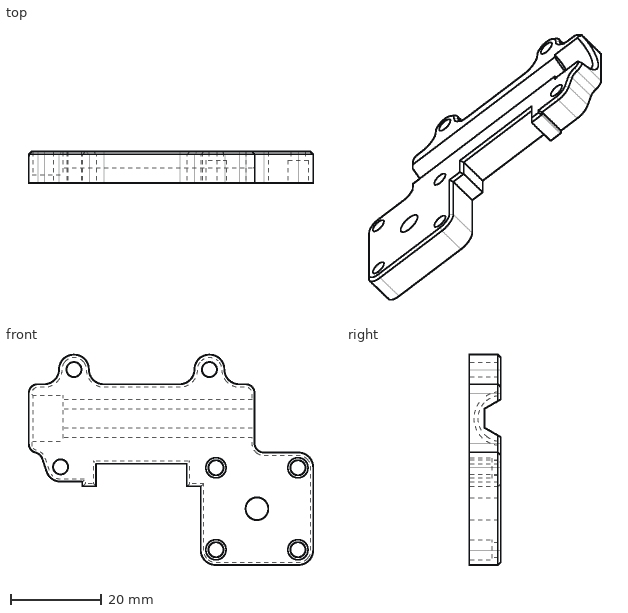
import cadquery as cq
import math

length = 63.0
height = 46.6
thickness = 7.0
back_chamfer = 0.6
screw_diameter = 3.3

body_right = 50.0
body_top = 40.05
corner_radius = 2.0

ear_radius = 3.35
ear_z = height - ear_radius
ear_positions = (10.0, 40.0)
ear_fillet = ear_z - body_top

block_size = 24.95
block_left = length - block_size
block_radius = 3.35
block_center = (length - block_size / 2, block_size / 2)
block_hole_pitch = 18.15
counterbore_diameter = 4.5
counterbore_depth = 5.05
center_hole_diameter = 5.0

lug_x = 7.05
lug_z = 21.75
lug_radius = 3.3
left_corner_z = 26.85
lug_fillet_x = 1.1

notch_left = 14.9
notch_right = 34.95
notch_top = 22.4
foot_left = 11.85
foot_bottom = 17.45
foot_radius = 0.2

channel_z = 32.5
channel_across_corners = 8.3
mouth_diameter = 12.0
mouth_inner_diameter = 10.2
mouth_depth = 7.55
mouth_chamfer = (mouth_diameter - mouth_inner_diameter) / 2


def point_on_arc(center, radius, angle):
    return (center[0] + radius * math.cos(angle), center[1] + radius * math.sin(angle))


def add_ear(outline, x):
    """Continue a left-to-right top edge over one ear and its two root fillets."""
    diagonal = math.pi / 4
    left_fillet = (x - ear_radius - ear_fillet, ear_z)
    right_fillet = (x + ear_radius + ear_fillet, ear_z)
    return (
        outline.lineTo(left_fillet[0], body_top)
        .threePointArc(point_on_arc(left_fillet, ear_fillet, -diagonal), (x - ear_radius, ear_z))
        .threePointArc((x, height), (x + ear_radius, ear_z))
        .threePointArc(point_on_arc(right_fillet, ear_fillet, 5 * diagonal), (right_fillet[0], body_top))
    )


def make_plate():
    corner = (corner_radius, left_corner_z)
    center_drop = math.sqrt((2 * corner_radius) ** 2 - (corner_radius - lug_fillet_x) ** 2)
    fillet = (lug_fillet_x, left_corner_z - center_drop)
    touch = ((corner[0] + fillet[0]) / 2, (corner[1] + fillet[1]) / 2)
    touch_angle = math.atan2(touch[1] - fillet[1], touch[0] - fillet[0])
    corner_middle = (math.pi + touch_angle + math.pi) / 2

    lug = (lug_x, lug_z)
    center_angle = math.atan2(lug[1] - fillet[1], lug[0] - fillet[0])
    flank_angle = center_angle + math.acos((corner_radius + lug_radius) / math.dist(lug, fillet))
    flank_start = point_on_arc(fillet, corner_radius, flank_angle)
    flank_end = point_on_arc(lug, lug_radius, flank_angle + math.pi)
    lug_middle = (flank_angle + math.pi + 3 * math.pi / 2) / 2

    outline = cq.Workplane("XZ").moveTo(0, left_corner_z).lineTo(0, body_top - corner_radius)
    outline = outline.radiusArc((corner_radius, body_top), corner_radius)
    for x in ear_positions:
        outline = add_ear(outline, x)
    outline = (
        outline.lineTo(body_right - corner_radius, body_top)
        .radiusArc((body_right, body_top - corner_radius), corner_radius)
        .lineTo(body_right, block_size + corner_radius)
        .radiusArc((body_right + corner_radius, block_size), -corner_radius)
        .lineTo(length - block_radius, block_size)
        .radiusArc((length, block_size - block_radius), block_radius)
        .lineTo(length, block_radius)
        .radiusArc((length - block_radius, 0), block_radius)
        .lineTo(block_left + block_radius, 0)
        .radiusArc((block_left, block_radius), block_radius)
        .lineTo(block_left, foot_bottom)
        .lineTo(notch_right, foot_bottom)
        .lineTo(notch_right, notch_top)
        .lineTo(notch_left, notch_top)
        .lineTo(notch_left, foot_bottom)
        .lineTo(foot_left, foot_bottom)
        .lineTo(foot_left, lug_z - lug_radius)
        .lineTo(lug_x, lug_z - lug_radius)
        .threePointArc(point_on_arc(lug, lug_radius, lug_middle), flank_end)
        .lineTo(*flank_start)
        .threePointArc(point_on_arc(fillet, corner_radius, (flank_angle + touch_angle) / 2), touch)
        .threePointArc(point_on_arc(corner, corner_radius, corner_middle), (0, left_corner_z))
        .close()
    )
    plate = outline.extrude(-thickness).faces(">Y").chamfer(back_chamfer)
    foot_corner = cq.selectors.NearestToPointSelector((foot_left, thickness / 2, foot_bottom))
    return plate.edges("|Y").edges(foot_corner).fillet(foot_radius)


def cut_screw_holes(part):
    screw_points = [(x, ear_z) for x in ear_positions] + [(lug_x, lug_z)]
    screw_holes = cq.Workplane("XZ").pushPoints(screw_points).circle(screw_diameter / 2).extrude(-thickness)
    return part.cut(screw_holes)


def cut_block_holes(part):
    block_plane = cq.Workplane("XZ").center(*block_center)
    corners = block_plane.rect(block_hole_pitch, block_hole_pitch, forConstruction=True).vertices()
    through_holes = corners.circle(screw_diameter / 2).extrude(-thickness)
    counterbores = corners.circle(counterbore_diameter / 2).extrude(-counterbore_depth)
    center_hole = block_plane.circle(center_hole_diameter / 2).extrude(-thickness)
    return part.cut(through_holes).cut(counterbores).cut(center_hole)


def cut_channel(part):
    end = cq.Workplane("YZ").center(thickness, channel_z)
    channel = (
        end.transformed(rotate=(0, 0, 90))
        .polygon(6, channel_across_corners)
        .extrude(body_right)
    )
    pocket = end.circle(mouth_inner_diameter / 2).extrude(mouth_depth)
    flare = (
        end.circle(mouth_diameter / 2)
        .workplane(offset=mouth_chamfer)
        .circle(mouth_inner_diameter / 2)
        .loft(ruled=True)
    )
    return part.cut(channel).cut(pocket).cut(flare)


result = cut_channel(cut_block_holes(cut_screw_holes(make_plate())))